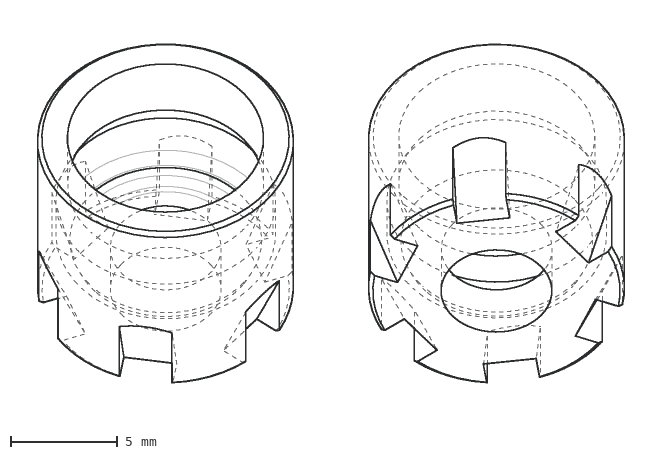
import cadquery as cq
import math

OUTER_DIAMETER = 12
HEIGHT = 10.8
RIM_CHAMFER = 0.2

BORE_DIAMETER = 9.19
BORE_DEPTH = 3.3
RELIEF_DIAMETER = 10.3
RELIEF_CONE_END_DEPTH = 4.5
RELIEF_END_DEPTH = 7.3
RELIEF_FILLET = 0.5

SEAT_DIAMETER = 9
CHANNEL_DIAMETER = 8.71
SEAT_TAPER = 20
LIP_TOP_DIAMETER = 7.0
CHANNEL_RADIUS = 0.4
LIP_TAPER = 12.5
THROUGH_DIAMETER = 5.2

SLOT_COUNT = 6
SLOT_WIDTH = 2.5
SLOT_FLOOR_RADIUS = 4.5
SLOT_SLOPE = 20
FIRST_SLOT_ANGLE = 30


def make_ring():
    """Revolve the full wall section: outside, bore, relief, seat, channel and lip."""
    outer_radius = OUTER_DIAMETER / 2
    relief_radius = RELIEF_DIAMETER / 2
    seat_radius = SEAT_DIAMETER / 2
    channel_radius = CHANNEL_DIAMETER / 2
    through_radius = THROUGH_DIAMETER / 2
    lip_radius = LIP_TOP_DIAMETER / 2

    relief_bottom = HEIGHT - RELIEF_END_DEPTH

    seat_angle = math.radians(SEAT_TAPER)
    lip_angle = math.radians(LIP_TAPER)
    arc_start_z = relief_bottom - (seat_radius - channel_radius) / math.tan(seat_angle)
    arc_center_r = channel_radius - CHANNEL_RADIUS * math.cos(seat_angle)
    arc_center_z = arc_start_z + CHANNEL_RADIUS * math.sin(seat_angle)
    arc_bottom = (arc_center_r, arc_center_z - CHANNEL_RADIUS)
    arc_end_r = arc_center_r - CHANNEL_RADIUS * math.sin(lip_angle)
    arc_end_z = arc_center_z - CHANNEL_RADIUS * math.cos(lip_angle)
    lip_top_z = arc_end_z + (arc_end_r - lip_radius) * math.tan(lip_angle)

    return (
        cq.Workplane("XZ")
        .moveTo(through_radius, 0)
        .lineTo(outer_radius - RIM_CHAMFER, 0)
        .lineTo(outer_radius, RIM_CHAMFER)
        .lineTo(outer_radius, HEIGHT - RIM_CHAMFER)
        .lineTo(outer_radius - RIM_CHAMFER, HEIGHT)
        .lineTo(BORE_DIAMETER / 2, HEIGHT)
        .lineTo(BORE_DIAMETER / 2, HEIGHT - BORE_DEPTH)
        .lineTo(relief_radius, HEIGHT - RELIEF_CONE_END_DEPTH)
        .lineTo(relief_radius, relief_bottom + RELIEF_FILLET)
        .radiusArc((relief_radius - RELIEF_FILLET, relief_bottom), RELIEF_FILLET)
        .lineTo(seat_radius, relief_bottom)
        .lineTo(channel_radius, arc_start_z)
        .threePointArc(arc_bottom, (arc_end_r, arc_end_z))
        .lineTo(lip_radius, lip_top_z)
        .lineTo(through_radius, lip_top_z)
        .close()
        .revolve(360, (0, 0, 0), (0, 1, 0))
    )


def make_slot(angle):
    """Wedge-shaped cutter whose flat floor leans outwards towards the top."""
    floor_rise = OUTER_DIAMETER / 2 - SLOT_FLOOR_RADIUS
    slot_height = floor_rise / math.tan(math.radians(SLOT_SLOPE))
    return (
        cq.Workplane("XZ")
        .moveTo(SLOT_FLOOR_RADIUS, 0)
        .lineTo(OUTER_DIAMETER / 2, 0)
        .lineTo(OUTER_DIAMETER / 2, slot_height)
        .close()
        .extrude(SLOT_WIDTH / 2, both=True)
        .rotate((0, 0, 0), (0, 0, 1), angle)
    )


result = make_ring()
for index in range(SLOT_COUNT):
    result = result.cut(make_slot(FIRST_SLOT_ANGLE + index * 360 / SLOT_COUNT))